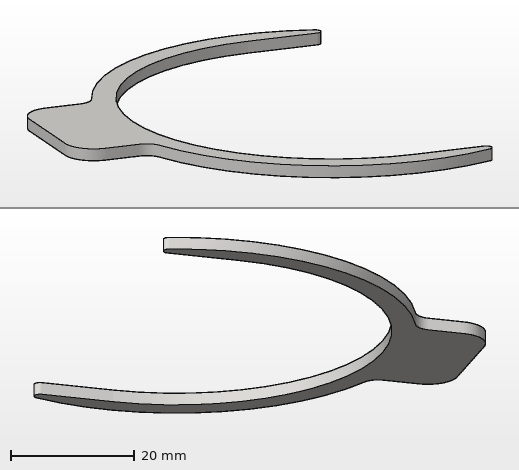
import cadquery as cq
import math

outer_radius = 39.0
wall = 4.0
thickness = 2.0
tab_width = 25.0
tab_drop = 11.0
tab_corner_radius = 5.0
neck_radius = 3.0
tip_radius = wall / 4

inner_radius = outer_radius - wall
tab_bottom = -(outer_radius + tab_drop)
tab_half = tab_width / 2
neck_y = -math.sqrt(outer_radius**2 - tab_half**2)
tip_y = math.sqrt(outer_radius**2 - inner_radius**2)


def round_mirrored_corners(body, half_spacing, y, radius):
    """Round the two upright edges at x = -half_spacing and x = +half_spacing."""
    reach = 0.1
    for x in (-half_spacing, half_spacing):
        corner = cq.selectors.BoxSelector(
            (x - reach, y - reach, -reach),
            (x + reach, y + reach, thickness + reach),
        )
        body = body.edges("|Z").edges(corner).fillet(radius)
    return body


def disc_with_tab():
    """Full disc with the rounded tab blended into its lower side."""
    disc = cq.Workplane("XY").circle(outer_radius).extrude(thickness)
    tab = (
        cq.Workplane("XY")
        .center(0, tab_bottom / 2)
        .rect(tab_width, -tab_bottom)
        .extrude(thickness)
    )
    body = disc.union(tab)
    body = round_mirrored_corners(body, tab_half, tab_bottom, tab_corner_radius)
    return round_mirrored_corners(body, tab_half, neck_y, neck_radius)


def u_opening():
    """Round-bottomed opening with straight sides, running out past the top of the disc."""
    return (
        cq.Workplane("XY")
        .moveTo(-inner_radius, 0)
        .threePointArc((0, -inner_radius), (inner_radius, 0))
        .lineTo(inner_radius, outer_radius + wall)
        .lineTo(-inner_radius, outer_radius + wall)
        .close()
        .extrude(thickness)
    )


clip = disc_with_tab().cut(u_opening())
result = round_mirrored_corners(clip, inner_radius, tip_y, tip_radius)